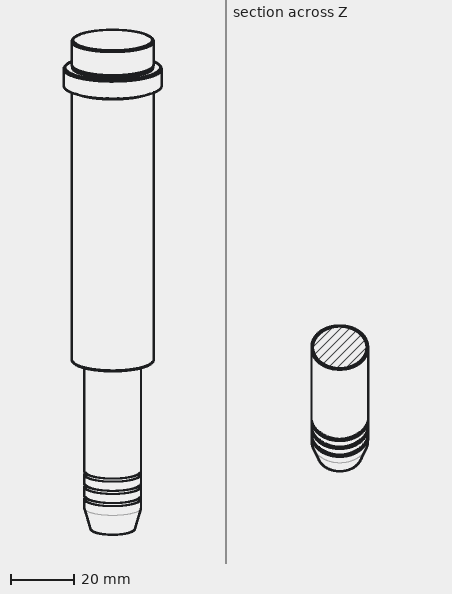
import cadquery as cq

total_length = 160.0
body_radius = 26.0 / 2
flange_radius = 31.0 / 2
pilot_radius = 18.0 / 2

pilot_length = 55.0
flange_bottom = 145.0
flange_thickness = 6.0
flange_top = flange_bottom + flange_thickness

body_chamfer = 0.5
flange_chamfer = 0.5

relief_width = 1.0
relief_depth = 0.2
relief_floor = 0.5

undercut_width = 1.0
undercut_depth = 0.5

oil_groove_count = 3
oil_groove_pitch = 4.0
oil_groove_radius = 0.5
lowest_oil_groove_height = 10.5

taper_length = 7.0
tip_radius = 7.0
tip_fillet = 0.5


def cylinder(radius, bottom, height):
    """Solid cylinder on the Z axis."""
    return cq.Workplane("XY").workplane(offset=bottom).circle(radius).extrude(height)


def revolve_profile(points):
    """Solid of revolution about Z from a closed (radius, height) outline."""
    return cq.Workplane("XZ").polyline(points).close().revolve(360, (0, 0), (0, 1))


def make_relief(flange_face, direction):
    """Cutter beside the flange; direction is +1 above the flange and -1 below it."""
    floor_radius = body_radius - relief_depth
    floor_end = flange_face + direction * relief_floor
    relief_end = flange_face + direction * relief_width
    return revolve_profile([
        (flange_radius, flange_face),
        (floor_radius, flange_face),
        (floor_radius, floor_end),
        (body_radius, relief_end),
        (flange_radius, relief_end),
    ])


def make_body():
    """Main shank with both ends chamfered and relieved on both sides of the flange."""
    body = cylinder(body_radius, pilot_length, total_length - pilot_length)
    body = body.faces("<Z or >Z").edges().chamfer(body_chamfer)
    return body.cut(make_relief(flange_bottom, -1)).cut(make_relief(flange_top, 1))


def make_flange():
    """Collar with a chamfered upper rim and a sharp lower rim."""
    flange = cylinder(flange_radius, flange_bottom, flange_thickness)
    return flange.faces(">Z").edges().chamfer(flange_chamfer)


def make_pilot():
    """Slim pilot with a tapered, rounded tip and a square undercut below the body."""
    undercut_radius = pilot_radius - undercut_depth
    undercut_bottom = pilot_length - undercut_width
    pilot = revolve_profile([
        (0, 0),
        (tip_radius, 0),
        (pilot_radius, taper_length),
        (pilot_radius, undercut_bottom),
        (undercut_radius, undercut_bottom),
        (undercut_radius, pilot_length),
        (0, pilot_length),
    ])
    return pilot.faces("<Z").edges().fillet(tip_fillet)


def make_oil_groove(height):
    """Half-round ring cutter centred on the pilot surface."""
    section = cq.Workplane("XZ").center(pilot_radius, height).circle(oil_groove_radius)
    return section.revolve(360, (-pilot_radius, 0), (-pilot_radius, 1))


result = make_body().union(make_flange()).union(make_pilot())
for index in range(oil_groove_count):
    groove_height = lowest_oil_groove_height + index * oil_groove_pitch
    result = result.cut(make_oil_groove(groove_height))